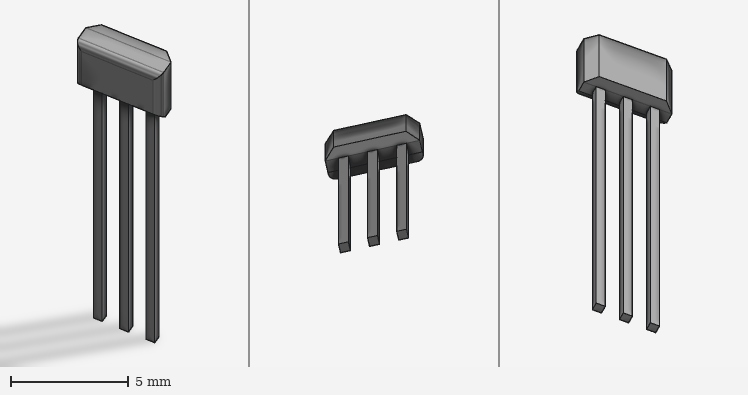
import cadquery as cq

total_height = 18.02
housing_width = 4.13
housing_depth = 1.51
housing_height = 3.01

front_y = -housing_depth / 2
back_y = housing_depth / 2
edge_radius = 0.35
taper_depth = 0.5
side_taper = 0.49
draft = 0.05
bevel_size = 0.49

lead_count = 3
lead_pitch = 1.27
lead_width = 0.43
lead_thickness = 0.4
lead_length = total_height - housing_height
taper_start_y = back_y - taper_depth
lead_y = taper_start_y - lead_thickness / 2


def make_front_block():
    """Straight front part with three rounded edges and a bevelled lower edge."""
    block_depth = taper_start_y - front_y
    block = cq.Workplane("XY").box(
        housing_width, block_depth, housing_height, centered=(True, False, False)
    ).translate((0, front_y, 0))
    block = block.faces("<Y").edges("|Z or >Z").fillet(edge_radius)
    bevel = (
        cq.Workplane("YZ")
        .polyline([(front_y, 0), (front_y + bevel_size, 0), (front_y, bevel_size)])
        .close()
        .extrude(housing_width / 2, both=True)
    )
    return block.cut(bevel)


def make_tapered_back():
    """Back part, narrowing from the full outline to the smaller back face."""
    return (
        cq.Workplane("XZ", origin=(0, taper_start_y, housing_height / 2))
        .rect(housing_width, housing_height)
        .workplane(offset=-taper_depth)
        .rect(housing_width - 2 * side_taper, housing_height - 2 * draft)
        .loft(ruled=True)
    )


def make_lead(x):
    """Lead standing against the underside of the housing at the given X."""
    return cq.Workplane("XY").box(
        lead_width, lead_thickness, lead_length, centered=(True, True, False)
    ).translate((x, lead_y, -lead_length))


housing = make_front_block().union(make_tapered_back())

leads = []
for i in range(lead_count):
    lead_x = (i - (lead_count - 1) / 2) * lead_pitch
    leads.append(make_lead(lead_x).val())

result = cq.Compound.makeCompound([housing.val(), *leads])